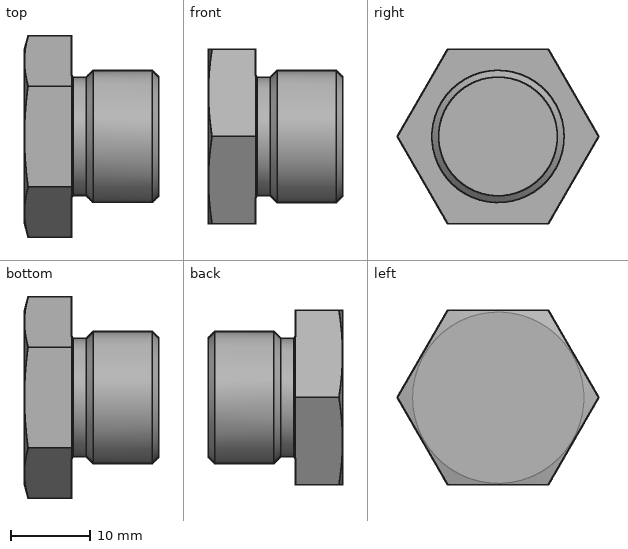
import cadquery as cq
import math

total_length = 17.0
head_thickness = 6.0
head_across_corners = 25.4
head_face_diameter = 21.6
head_chamfer_angle = 15.0

neck_diameter = 14.95
neck_length = 1.85
neck_root_chamfer = 0.2
thread_diameter = 16.65

corner_radius = head_across_corners / 2
head_face_radius = head_face_diameter / 2
neck_radius = neck_diameter / 2
thread_radius = thread_diameter / 2
neck_end = head_thickness + neck_length
thread_chamfer = thread_radius - neck_radius


def revolve_about_x(points):
    """Revolve a closed (x, radius) outline around the X axis."""
    return cq.Workplane("XY").polyline(points).close().revolve(360, (0, 0, 0), (1, 0, 0))


def make_head():
    """Hexagon with corners on +Y and -Y, its outer face chamfered by a cone."""
    hexagon = cq.Workplane("YZ").polygon(6, head_across_corners).extrude(head_thickness)
    cone_radius = head_across_corners
    cone_depth = (cone_radius - head_face_radius) * math.tan(math.radians(head_chamfer_angle))
    cone = revolve_about_x([
        (0, 0),
        (0, head_face_radius),
        (cone_depth, cone_radius),
        (head_thickness, cone_radius),
        (head_thickness, 0),
    ])
    return hexagon.intersect(cone)


def make_shank():
    """Undercut neck and plain thread cylinder with chamfered ends."""
    return revolve_about_x([
        (head_thickness, 0),
        (head_thickness, neck_radius + neck_root_chamfer),
        (head_thickness + neck_root_chamfer, neck_radius),
        (neck_end, neck_radius),
        (neck_end + thread_chamfer, thread_radius),
        (total_length - thread_chamfer, thread_radius),
        (total_length, thread_radius - thread_chamfer),
        (total_length, 0),
    ])


result = make_head().union(make_shank())